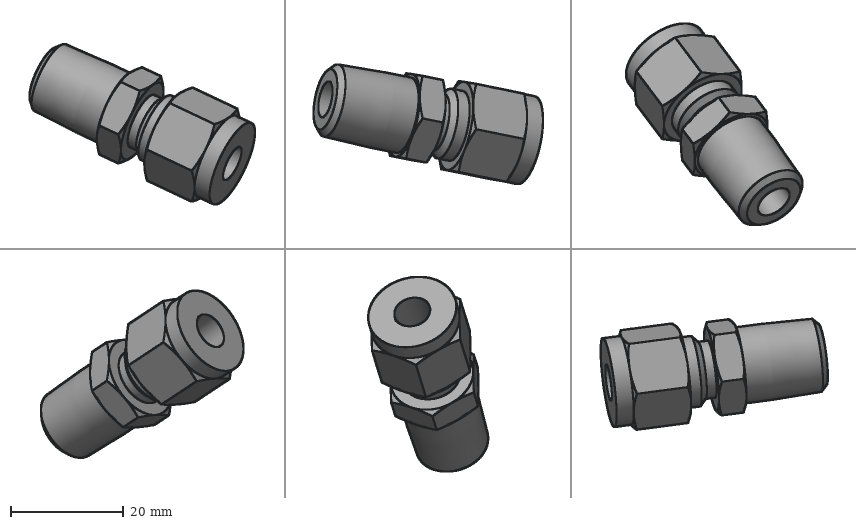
import cadquery as cq
import math

THREAD_CHAMFER = 1.1
TAPER_END = 10.2
BODY_HEX_START = 15.1
BODY_HEX_END = 20.1
NECK_END = 21.85
SHOULDER_START = 23.0
NUT_HEX_START = 25.2
NUT_HEX_END = 35.6
TOTAL_LENGTH = 38.7

THREAD_TIP_DIAMETER = 13.157
SHANK_DIAMETER = 13.7
NECK_DIAMETER = 10.3
SHOULDER_DIAMETER = 12.7
BORE_DIAMETER = 6.5

HEX_SIDES = 6
BODY_ACROSS_FLATS = 15.0
NUT_ACROSS_FLATS = 16.0
COLLAR_DIAMETER = NUT_ACROSS_FLATS
HEX_CHAMFER_ANGLE = 25.0


def revolved_core():
    """Round body: tapered thread, shank, neck, shoulder and collar."""
    thread_radius = THREAD_TIP_DIAMETER / 2
    shank_radius = SHANK_DIAMETER / 2
    neck_radius = NECK_DIAMETER / 2
    shoulder_radius = SHOULDER_DIAMETER / 2
    collar_radius = COLLAR_DIAMETER / 2
    profile = [
        (0, 0),
        (0, thread_radius - THREAD_CHAMFER),
        (THREAD_CHAMFER, thread_radius),
        (TAPER_END, shank_radius),
        (BODY_HEX_END, shank_radius),
        (BODY_HEX_END, neck_radius),
        (NECK_END, neck_radius),
        (SHOULDER_START, shoulder_radius),
        (NUT_HEX_END, shoulder_radius),
        (NUT_HEX_END, collar_radius),
        (TOTAL_LENGTH, collar_radius),
        (TOTAL_LENGTH, 0),
    ]
    return cq.Workplane("XY").polyline(profile).close().revolve(360, (0, 0), (1, 0))


def chamfered_hex(start, end, across_flats):
    """Hexagon with corners along Z, its ends turned conical down to the inscribed circle."""
    inner_radius = across_flats / 2
    corner_radius = inner_radius / math.cos(math.pi / HEX_SIDES)
    chamfer_depth = (corner_radius - inner_radius) * math.tan(math.radians(HEX_CHAMFER_ANGLE))
    prism = (
        cq.Workplane("YZ", origin=(start, 0, 0))
        .transformed(rotate=(0, 0, 90))
        .polygon(HEX_SIDES, 2 * corner_radius)
        .extrude(end - start)
    )
    envelope_profile = [
        (start, 0),
        (start, inner_radius),
        (start + chamfer_depth, corner_radius),
        (end - chamfer_depth, corner_radius),
        (end, inner_radius),
        (end, 0),
    ]
    envelope = cq.Workplane("XY").polyline(envelope_profile).close().revolve(360, (0, 0), (1, 0))
    return prism.intersect(envelope)


def through_bore():
    """Straight passage along the whole axis."""
    return cq.Workplane("YZ").circle(BORE_DIAMETER / 2).extrude(TOTAL_LENGTH)


body_hex = chamfered_hex(BODY_HEX_START, BODY_HEX_END, BODY_ACROSS_FLATS)
nut_hex = chamfered_hex(NUT_HEX_START, NUT_HEX_END, NUT_ACROSS_FLATS)

result = revolved_core().union(body_hex).union(nut_hex).cut(through_bore())